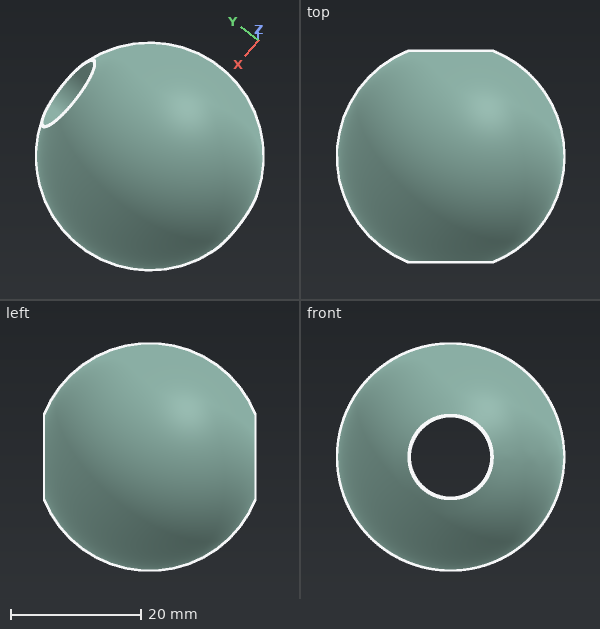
import cadquery as cq
import math

ball_diameter = 35.0
length_across_flats = 32.5
bore_diameter = 12.5

ball_radius = ball_diameter / 2
bore_radius = bore_diameter / 2
flat_y = length_across_flats / 2
flat_radius = math.sqrt(ball_radius**2 - flat_y**2)


def make_bored_ball():
    """Half section beside the bore, turned once around the Y axis."""
    half_section = (
        cq.Workplane("XY")
        .moveTo(bore_radius, -flat_y)
        .lineTo(flat_radius, -flat_y)
        .threePointArc((ball_radius, 0), (flat_radius, flat_y))
        .lineTo(bore_radius, flat_y)
        .close()
    )
    return half_section.revolve(360, (0, 0), (0, 1))


result = make_bored_ball()